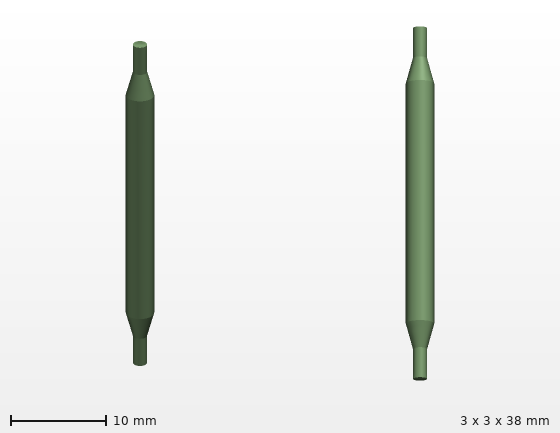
import cadquery as cq


overall_length = 38.0
shank_diameter = 3.0
shank_length = 26.0
tip_diameter = 1.5
tip_length = 3.0
collar_length = 0.25

shank_radius = shank_diameter / 2
tip_radius = tip_diameter / 2
shank_end = shank_length / 2
tip_inner_end = overall_length / 2 - tip_length
taper_end = tip_inner_end - collar_length


def make_shank():
    """Plain cylinder in the middle of the rod."""
    return cq.Workplane("XY").workplane(offset=-shank_end).circle(shank_radius).extrude(shank_length)


def make_neck():
    """Upper neck: a cone down to the tip diameter, then a short straight collar."""
    half_profile = [
        (0, shank_end),
        (shank_radius, shank_end),
        (tip_radius, taper_end),
        (tip_radius, tip_inner_end),
        (0, tip_inner_end),
    ]
    return cq.Workplane("XZ").polyline(half_profile).close().revolve(360, (0, 0), (0, 1))


def make_tip():
    """Upper tip: a plain cylinder standing on the neck's collar."""
    return cq.Workplane("XY").workplane(offset=tip_inner_end).circle(tip_radius).extrude(tip_length)


shank = make_shank()
bodies = [shank.val()]

for turn_angle in (0, 180):
    for end_body in (make_neck(), make_tip()):
        placed_body = end_body.rotate((0, 0, 0), (1, 0, 0), turn_angle)
        bodies.append(placed_body.val())

result = cq.Compound.makeCompound(bodies)